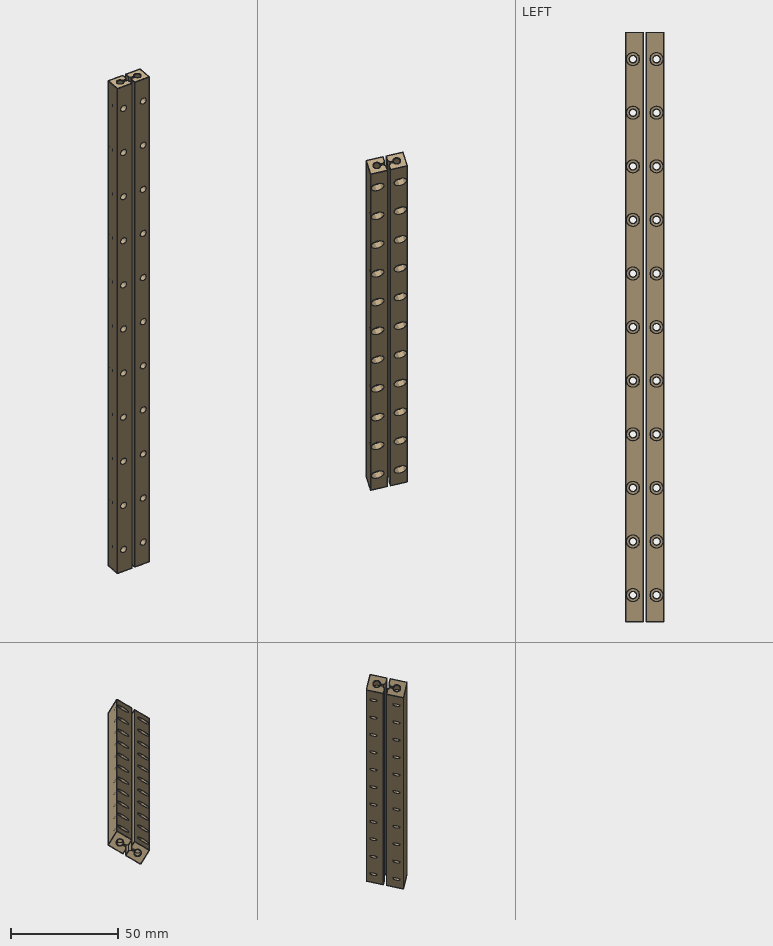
import cadquery as cq
import math

length = 275.0
thickness = 8.0
pair_width = 18.0

rail_gap = 1.5
groove_depth = 1.5
groove_angle = 90.0
relief_width = 0.8
relief_depth = 2.0
edge_chamfer = 0.15

hole_count = 11
hole_pitch = length / hole_count
hole_row_spacing = 11.0
hole_diameter = 3.3
counterbore_diameter = 6.0
counterbore_depth = 3.3

end_hole_spacing = 9.5
end_hole_diameter = 3.0
end_hole_depth = 6.0
countersink_diameter = 3.5
drill_point_angle = 118.0


def rail_blank(side):
    """Rail with chamfered edges; side is +1 or -1 along Y."""
    rail_width = (pair_width - rail_gap) / 2
    center_y = side * (rail_gap + rail_width) / 2
    blank = cq.Workplane("XY").box(thickness, rail_width, length, centered=(True, True, False))
    return blank.edges().chamfer(edge_chamfer).translate((0, center_y, 0))


def roller_groove(side):
    """Cutter for the V groove and its relief slot along the inner face of a rail.

    The V opens as far as the middle of the gap between the rails.
    """
    inner_y = rail_gap / 2
    slope = math.tan(math.radians(groove_angle / 2))
    tip_y = inner_y + groove_depth
    relief_half = relief_width / 2
    half = [
        (tip_y * slope, 0),
        (relief_half, tip_y - relief_half / slope),
        (relief_half, inner_y + relief_depth),
    ]
    mirrored = [(-x, y) for x, y in reversed(half)]
    outline = [(x, side * y) for x, y in half + mirrored]
    return cq.Workplane("XY").polyline(outline).close().extrude(length)


def mounting_holes(side):
    """Cutters for the row of counterbored through holes."""
    y = side * hole_row_spacing / 2
    points = [(y, (i + 0.5) * hole_pitch) for i in range(hole_count)]
    face = cq.Workplane("YZ", origin=(-thickness / 2, 0, 0)).pushPoints(points)
    through = face.circle(hole_diameter / 2).extrude(thickness)
    counterbores = face.circle(counterbore_diameter / 2).extrude(counterbore_depth)
    return through.union(counterbores)


def end_holes(side):
    """Cutters for the countersunk, drill-pointed blind holes in the two end faces."""
    y = side * end_hole_spacing / 2
    hole_radius = end_hole_diameter / 2
    drill_tip_length = hole_radius / math.tan(math.radians(drill_point_angle / 2))
    countersink_radius = countersink_diameter / 2
    profile = [
        (0, 0),
        (countersink_radius, 0),
        (hole_radius, countersink_radius - hole_radius),
        (hole_radius, end_hole_depth),
        (0, end_hole_depth + drill_tip_length),
    ]
    bottom = cq.Workplane("XZ").polyline(profile).close().revolve(360, (0, 0, 0), (0, 1, 0))
    bottom = bottom.translate((0, y, 0))
    return bottom.union(bottom.mirror("XY", (0, 0, length / 2)))


def make_rail(side):
    """One complete rail."""
    return rail_blank(side).cut(roller_groove(side)).cut(mounting_holes(side)).cut(end_holes(side))


rails = [make_rail(side) for side in (1, -1)]

result = cq.Compound.makeCompound([rail.val() for rail in rails])